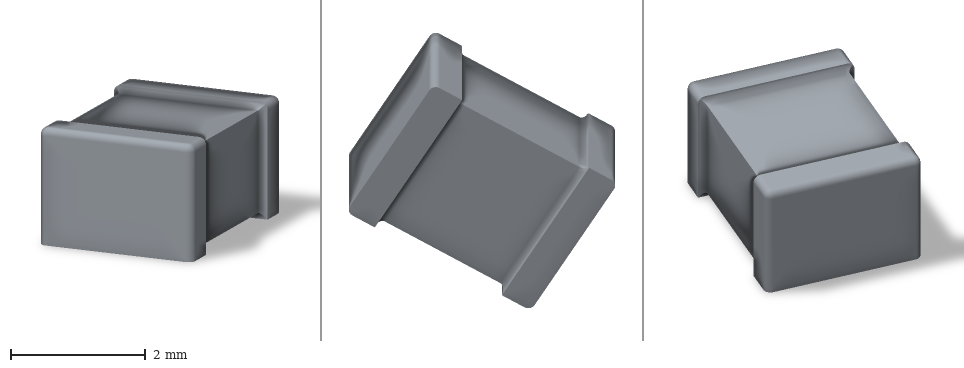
import cadquery as cq

width = 2.5
length = 3.2
height = 1.8

cap_length = 0.5
body_inset = 0.112
edge_radius = 0.112
root_radius = 0.105


def rounded_block():
    """Full envelope, with every edge rounded except those around the base."""
    block = cq.Workplane("XY").box(width, length, height)
    return block.edges("|Z or >Z").fillet(edge_radius)


def waist_cutter(plane, face_distance, depth):
    """Prism that lowers one long face to the body, leaving a concave root at each cap.

    The plane's second direction is the outward normal of the face.
    """
    cap_face = length / 2 - cap_length
    floor_end = cap_face - root_radius
    floor = face_distance - body_inset
    root_top = floor + root_radius
    profile = (
        cq.Workplane(plane)
        .moveTo(-floor_end, floor)
        .lineTo(floor_end, floor)
        .radiusArc((cap_face, root_top), -root_radius)
        .lineTo(cap_face, face_distance)
        .lineTo(-cap_face, face_distance)
        .lineTo(-cap_face, root_top)
        .radiusArc((-floor_end, floor), -root_radius)
        .close()
    )
    return profile.extrude(depth / 2, both=True)


top_cutter = waist_cutter("YZ", height / 2, width)
side_cutter = waist_cutter("YX", width / 2, height)

result = (
    rounded_block()
    .cut(top_cutter)
    .cut(top_cutter.mirror("XY"))
    .cut(side_cutter)
    .cut(side_cutter.mirror("YZ"))
)